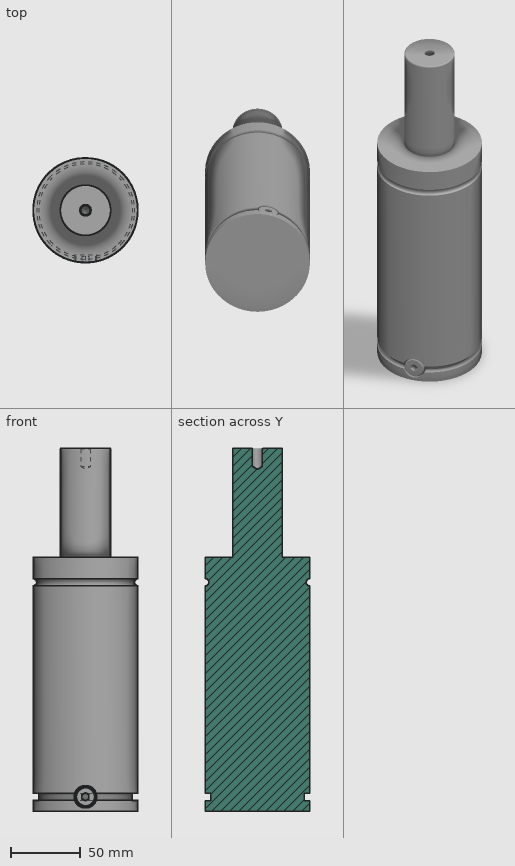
import cadquery as cq
import math

body_diameter = 75.0
body_radius = body_diameter / 2
total_height = 260.0
rod_stroke = 78.0
body_height = total_height - rod_stroke

rod_diameter = 36.0
rod_edge_radius = 1.0

upper_groove_width = 5.0
upper_groove_radius = upper_groove_width / 2
upper_groove_offset = 15.5
upper_groove_top = body_height - upper_groove_offset

lower_groove_bottom = 8.0
lower_groove_width = 5.0
lower_groove_depth = 4.0

tap_diameter = 6.8
tap_depth = 13.0
tap_mouth_diameter = 8.0
drill_point_angle = 118.0

pocket_diameter = 16.0
plug_diameter = 14.0
plug_chamfer = 0.5
plug_height = 10.5
plug_face_distance = 37.0
plug_seat_distance = 32.0
socket_width = 5.0
socket_depth = 4.0


def make_body():
    """Body cylinder with its two fixing grooves."""
    groove_low = upper_groove_top - upper_groove_width
    groove_floor_point = (body_radius - upper_groove_radius, upper_groove_top - upper_groove_radius)
    lower_groove_top = lower_groove_bottom + lower_groove_width
    lower_groove_floor = body_radius - lower_groove_depth
    return (
        cq.Workplane("XZ")
        .moveTo(0, 0)
        .lineTo(body_radius, 0)
        .lineTo(body_radius, lower_groove_bottom)
        .lineTo(lower_groove_floor, lower_groove_bottom)
        .lineTo(lower_groove_floor, lower_groove_top)
        .lineTo(body_radius, lower_groove_top)
        .lineTo(body_radius, groove_low)
        .threePointArc(groove_floor_point, (body_radius, upper_groove_top))
        .lineTo(body_radius, body_height)
        .lineTo(0, body_height)
        .close()
        .revolve(360, (0, 0, 0), (0, 1, 0))
    )


def make_rod():
    """Piston rod with a rounded end edge."""
    return (
        cq.Workplane("XY", origin=(0, 0, body_height))
        .circle(rod_diameter / 2)
        .extrude(rod_stroke)
        .faces(">Z")
        .edges()
        .fillet(rod_edge_radius)
    )


def make_tapped_hole():
    """Countersunk tap-drill hole with a conical bottom, as a cutting tool."""
    tap_radius = tap_diameter / 2
    mouth_radius = tap_mouth_diameter / 2
    countersink_depth = mouth_radius - tap_radius
    point_depth = tap_radius / math.tan(math.radians(drill_point_angle / 2))
    return (
        cq.Workplane("XZ", origin=(0, 0, total_height))
        .moveTo(0, 0)
        .lineTo(mouth_radius, 0)
        .lineTo(tap_radius, -countersink_depth)
        .lineTo(tap_radius, -tap_depth)
        .lineTo(0, -tap_depth - point_depth)
        .close()
        .revolve(360, (0, 0, 0), (0, 1, 0))
    )


def plug_plane(distance):
    """Sketch plane on the plug axis, facing -Y, at a distance from the body axis."""
    return cq.Workplane("XZ", origin=(0, -distance, plug_height))


def make_plug():
    """Chamfered plug with a hexagon socket whose corners point up and down."""
    plug_length = plug_face_distance - plug_seat_distance
    plug = (
        plug_plane(plug_seat_distance)
        .circle(plug_diameter / 2)
        .extrude(plug_length)
        .faces("<Y")
        .chamfer(plug_chamfer)
    )
    socket_corner_diameter = socket_width / math.cos(math.pi / 6)
    socket = (
        plug_plane(plug_face_distance)
        .transformed(rotate=(0, 0, 90))
        .polygon(6, socket_corner_diameter)
        .extrude(-socket_depth)
    )
    return plug.cut(socket)


def make_plug_pocket():
    """Round pocket in the body wall that leaves a ring gap around the plug."""
    pocket_depth = body_radius - plug_seat_distance
    return plug_plane(plug_seat_distance).circle(pocket_diameter / 2).extrude(pocket_depth)


result = make_body().union(make_rod())
result = result.cut(make_tapped_hole())
result = result.cut(make_plug_pocket()).union(make_plug())